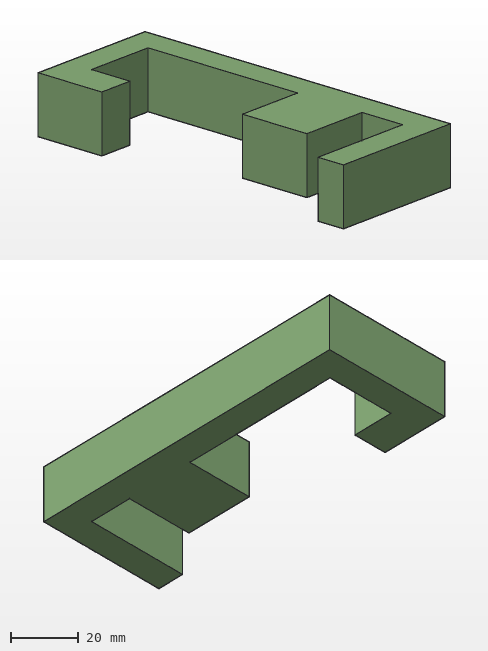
import cadquery as cq

length = 120.0
depth = 47.5
height = 20.0

wall = 10.0

hook_length = 25.1
hook_depth = 12.5

block_left = 68.8
block_width = 25.3
block_front = 13.1


def box(x, y, size_x, size_y):
    """Full-height box with its lower corner at (x, y, 0)."""
    return cq.Workplane("XY").box(size_x, size_y, height, centered=False).translate((x, y, 0))


back_bar = box(0, depth - wall, length, wall)
left_arm = box(0, 0, wall, depth)
right_arm = box(length - wall, 0, wall, depth)
hook_foot = box(0, 0, hook_length, hook_depth)
block = box(block_left, block_front, block_width, depth - block_front)

result = back_bar.union(left_arm).union(right_arm).union(hook_foot).union(block).clean()